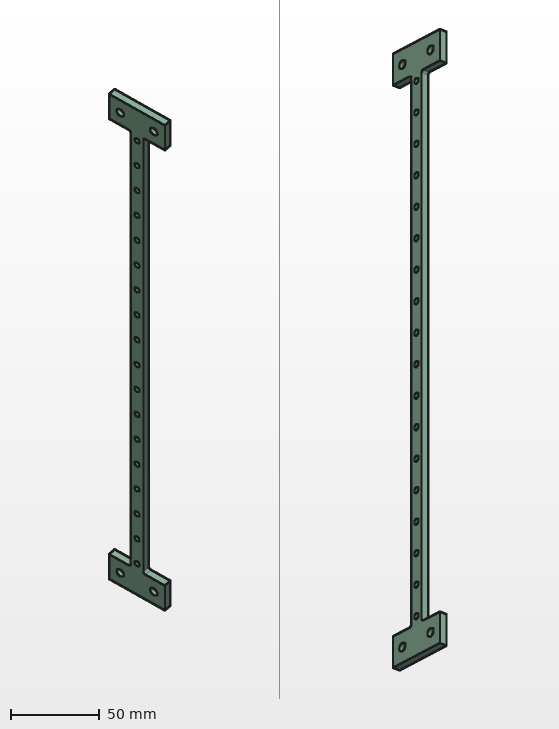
import cadquery as cq

total_length = 390.0
thickness = 5.0
plate_width = 40.0
plate_height = 20.0
bar_width = 9.0
plate_hole_diameter = 5.2
plate_hole_spacing = 24.0
bar_hole_diameter = 3.5
bar_hole_pitch = 20.0
bar_hole_count = 18
corner_radius = 1.5

plate_center_z = (total_length - plate_height) / 2


def centered_block(width, height, center_z=0.0):
    """Flat block of the common thickness, centred on X and Y."""
    return cq.Workplane("XY").box(width, thickness, height).translate((0, 0, center_z))


def hole_cutters(points, diameter):
    """Cylinders along Y that pass through the full thickness at (x, z) points."""
    return cq.Workplane("XZ").pushPoints(points).circle(diameter / 2).extrude(thickness, both=True)


result = centered_block(bar_width, total_length)
for end in (-1, 1):
    result = result.union(centered_block(plate_width, plate_height, end * plate_center_z))

corner_edges = cq.selectors.BoxSelector(
    (-bar_width, -thickness, -plate_center_z),
    (bar_width, thickness, plate_center_z),
)
result = result.edges("|Y").edges(corner_edges).fillet(corner_radius)

plate_hole_points = [
    (side * plate_hole_spacing / 2, end * plate_center_z)
    for side in (-1, 1)
    for end in (-1, 1)
]
result = result.cut(hole_cutters(plate_hole_points, plate_hole_diameter))

first_bar_hole_z = -bar_hole_pitch * (bar_hole_count - 1) / 2
bar_hole_points = [(0, first_bar_hole_z + i * bar_hole_pitch) for i in range(bar_hole_count)]
result = result.cut(hole_cutters(bar_hole_points, bar_hole_diameter))